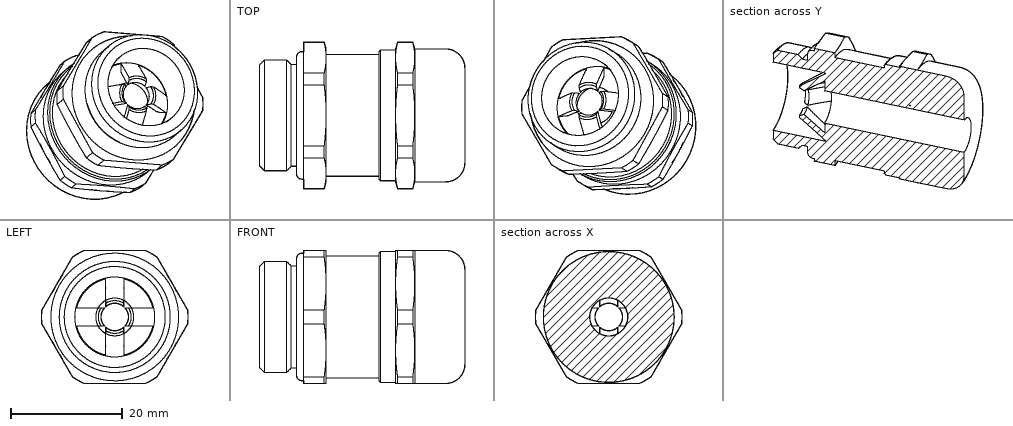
import cadquery as cq
import math

overall_length = 37.0
thread_end = 4.9
groove_start = 5.7
seal_start = 6.65
body_hex_start = 7.95
body_hex_end = 12.0
collar_start = 21.5
cap_hex_start = 24.5
cap_hex_end = 27.95

thread_radius = 10.0
thread_chamfer = 0.9
groove_radius = 9.2
seal_radius = 11.5
seal_fillet = 1.0
body_radius = 11.0
collar_radius = 11.8
collar_chamfer = 0.3
cap_radius = 12.0
cap_fillet = 3.5

hex_across_flats = 24.0
hex_sides = 6
hex_across_corners = hex_across_flats / math.cos(math.pi / hex_sides)
hex_corner_radius = 13.2
hex_chamfer_length = 0.35

bore_radius = 7.2
passage_radius = 3.4
floor_rim_radius = 7.05
finger_tip_x = 5.1
finger_width = 3.25
finger_mouth_radius = 2.95
finger_throat_radius = 2.45
finger_lead_in = 0.9
finger_throat_x = finger_tip_x + finger_lead_in
finger_slope = 0.75


def finger_cone_x(radius):
    """Axial station where the outer finger cone reaches the given radius."""
    return finger_tip_x + (radius - passage_radius) / finger_slope


floor_x = finger_cone_x(floor_rim_radius)
bore_end = finger_cone_x(bore_radius)


def revolve_about_x(profile):
    """Turn a closed (x, radius) sketch about the X axis."""
    return profile.close().revolve(360, (0, 0, 0), (1, 0, 0))


def make_turned_body():
    cap_arc_centre_x = overall_length - cap_fillet
    cap_arc_centre_r = cap_radius - cap_fillet
    mid_arc = math.sqrt(0.5)
    profile = (
        cq.Workplane("XY")
        .lineTo(0, thread_radius - thread_chamfer)
        .lineTo(thread_chamfer, thread_radius)
        .lineTo(thread_end, thread_radius)
        .lineTo(groove_start, groove_radius)
        .lineTo(seal_start, groove_radius)
        .lineTo(seal_start, seal_radius - seal_fillet)
        .threePointArc(
            (
                seal_start + seal_fillet * (1 - mid_arc),
                seal_radius - seal_fillet * (1 - mid_arc),
            ),
            (seal_start + seal_fillet, seal_radius),
        )
        .lineTo(body_hex_start, seal_radius)
        .lineTo(body_hex_start, body_radius)
        .lineTo(collar_start, body_radius)
        .lineTo(collar_start, collar_radius - collar_chamfer)
        .lineTo(collar_start + collar_chamfer, collar_radius)
        .lineTo(cap_hex_start, collar_radius)
        .lineTo(cap_hex_start, cap_radius)
        .lineTo(cap_arc_centre_x, cap_radius)
        .threePointArc(
            (
                cap_arc_centre_x + cap_fillet * mid_arc,
                cap_arc_centre_r + cap_fillet * mid_arc,
            ),
            (overall_length, cap_arc_centre_r),
        )
        .lineTo(overall_length, 0)
    )
    return revolve_about_x(profile)


def make_wrench_hex(start, end, chamfer_start):
    """Hexagon with turned corners; the end is always chamfered, the start on request."""
    prism = (
        cq.Workplane("YZ")
        .workplane(offset=start)
        .polygon(hex_sides, hex_across_corners)
        .extrude(end - start)
    )
    flat_radius = hex_across_flats / 2
    envelope = cq.Workplane("XY").moveTo(start, 0)
    if chamfer_start:
        envelope = envelope.lineTo(start, flat_radius)
        envelope = envelope.lineTo(start + hex_chamfer_length, hex_corner_radius)
    else:
        envelope = envelope.lineTo(start, hex_corner_radius)
    envelope = (
        envelope.lineTo(end - hex_chamfer_length, hex_corner_radius)
        .lineTo(end, flat_radius)
        .lineTo(end, 0)
    )
    return prism.intersect(revolve_about_x(envelope))


def make_interior_cut():
    """Entry bore around a hollow cone that points at the entry, and the passage through the cap."""
    inner_root_radius = finger_throat_radius + finger_slope * (floor_x - finger_throat_x)
    profile = (
        cq.Workplane("XY")
        .lineTo(0, bore_radius)
        .lineTo(bore_end, bore_radius)
        .lineTo(finger_tip_x, passage_radius)
        .lineTo(finger_tip_x, finger_mouth_radius)
        .lineTo(finger_throat_x, finger_throat_radius)
        .lineTo(floor_x, inner_root_radius)
        .lineTo(floor_x, passage_radius)
        .lineTo(overall_length, passage_radius)
        .lineTo(overall_length, 0)
    )
    return revolve_about_x(profile)


def make_finger_gaps():
    """Four sectors down to the floor that split the hollow cone into parallel-sided fingers."""
    gaps = cq.Workplane("YZ").circle(floor_rim_radius).extrude(floor_x)
    for angle in (0, 90):
        arm_pair = cq.Workplane("YZ").rect(2 * bore_radius, finger_width).extrude(floor_x)
        gaps = gaps.cut(arm_pair.rotate((0, 0, 0), (1, 0, 0), angle))
    return gaps


result = (
    make_turned_body()
    .union(make_wrench_hex(body_hex_start, body_hex_end, chamfer_start=False))
    .union(make_wrench_hex(cap_hex_start, cap_hex_end, chamfer_start=True))
    .cut(make_interior_cut())
    .cut(make_finger_gaps())
)